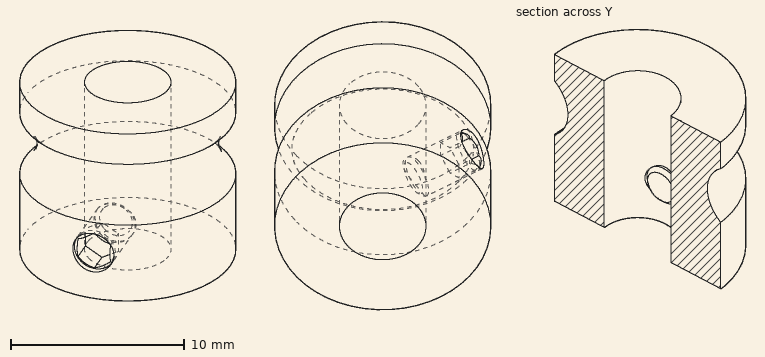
import cadquery as cq

OUTER_DIAMETER = 12.5
BORE_DIAMETER = 5
HUB_HEIGHT = 5
GROOVE_WIDTH = 4
GROOVE_DEPTH = 1
FLANGE_HEIGHT = 2

SCREW_DIAMETER = 2.5
SCREW_HEIGHT = 3
SCREW_LENGTH = 4
SCREW_CHAMFER = 0.25
SCREW_TIP_Y = -2.1
SOCKET_FLATS = 2
SOCKET_DEPTH = 1.5

outer_radius = OUTER_DIAMETER / 2
groove_top = HUB_HEIGHT + GROOVE_WIDTH
total_height = groove_top + FLANGE_HEIGHT
screw_head_y = SCREW_TIP_Y - SCREW_LENGTH


def cylinder_along_y(diameter, start_y, length):
    """Cylinder at the screw height, running from start_y toward +Y."""
    plane = cq.Plane(origin=(0, start_y, SCREW_HEIGHT), xDir=(1, 0, 0), normal=(0, 1, 0))
    return cq.Workplane(plane).circle(diameter / 2).extrude(length)


def make_pulley():
    """Revolved body with a round belt groove, a bore and a radial screw hole."""
    groove_floor = (outer_radius - GROOVE_DEPTH, HUB_HEIGHT + GROOVE_WIDTH / 2)
    body = (
        cq.Workplane("XZ")
        .moveTo(BORE_DIAMETER / 2, 0)
        .lineTo(outer_radius, 0)
        .lineTo(outer_radius, HUB_HEIGHT)
        .threePointArc(groove_floor, (outer_radius, groove_top))
        .lineTo(outer_radius, total_height)
        .lineTo(BORE_DIAMETER / 2, total_height)
        .close()
        .revolve(360, (0, 0, 0), (0, 1, 0))
    )
    return body.cut(cylinder_along_y(SCREW_DIAMETER, -outer_radius, outer_radius))


def make_set_screw():
    """Headless screw, chamfered at both ends, with a hexagon socket facing -Y."""
    screw = cylinder_along_y(SCREW_DIAMETER, screw_head_y, SCREW_LENGTH)
    screw = screw.faces("<Y or >Y").chamfer(SCREW_CHAMFER)
    socket_plane = cq.Plane(
        origin=(0, screw_head_y, SCREW_HEIGHT), xDir=(1, 0, 0), normal=(0, 1, 0)
    )
    socket = (
        cq.Workplane(socket_plane)
        .polygon(6, SOCKET_FLATS, circumscribed=True)
        .extrude(SOCKET_DEPTH)
    )
    return screw.cut(socket)


pulley = make_pulley()
set_screw = make_set_screw()

result = cq.Compound.makeCompound([pulley.val(), set_screw.val()])